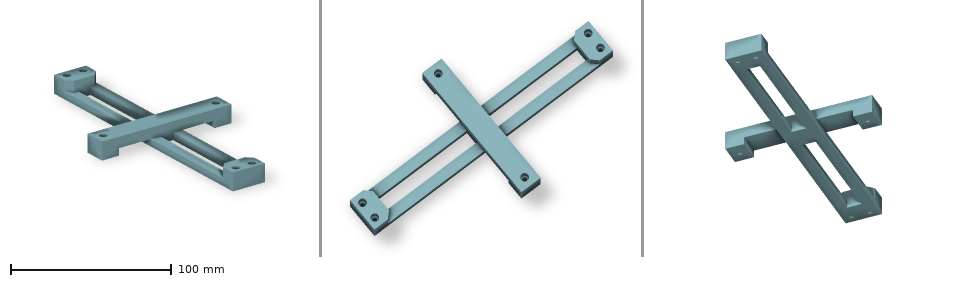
import cadquery as cq

length = 190.0
span = 100.0
height = 13.0

rail_height = 5.1
frame_width = 24.7
slot_width = 9.9

pad_length = 15.0
pad_chamfer = 4.4

bar_width = 15.4
foot_length = 13.0
relief_height = 5.1

hole_diameter = 3.0
bore_diameter = 5.5
bore_depth = 5.0
pad_hole_inset = 5.1
pad_hole_spacing = 12.4
bar_hole_inset = 6.5


def block(x_size, y_size, z_size):
    """Box centred in X and Y and standing on the base plane."""
    return cq.Workplane("XY").box(x_size, y_size, z_size, centered=(True, True, False))


def make_frame():
    slot_length = length - 2 * pad_length
    slot = block(slot_length, slot_width, rail_height)
    return block(length, frame_width, rail_height).cut(slot)


def make_end_pad(side):
    inner_edges = "|Z and >X" if side < 0 else "|Z and <X"
    pad = block(pad_length, frame_width, height - rail_height).edges(inner_edges).chamfer(pad_chamfer)
    return pad.translate((side * (length - pad_length) / 2, 0, rail_height))


def make_crossbar():
    bar = block(bar_width, span, height)
    relief_length = (span - frame_width) / 2 - foot_length
    relief_center = (frame_width + relief_length) / 2
    for side in (-1, 1):
        relief = block(bar_width, relief_length, relief_height)
        bar = bar.cut(relief.translate((0, side * relief_center, 0)))
    return bar


body = make_frame().union(make_crossbar())
for end in (-1, 1):
    body = body.union(make_end_pad(end))

pad_hole_x = length / 2 - pad_hole_inset
pad_hole_y = pad_hole_spacing / 2
bar_hole_y = span / 2 - bar_hole_inset
hole_points = [(x, y) for x in (-pad_hole_x, pad_hole_x) for y in (-pad_hole_y, pad_hole_y)]
hole_points += [(0, -bar_hole_y), (0, bar_hole_y)]

result = (
    body.faces(">Z")
    .workplane(origin=(0, 0, height))
    .pushPoints(hole_points)
    .cboreHole(hole_diameter, bore_diameter, bore_depth)
)